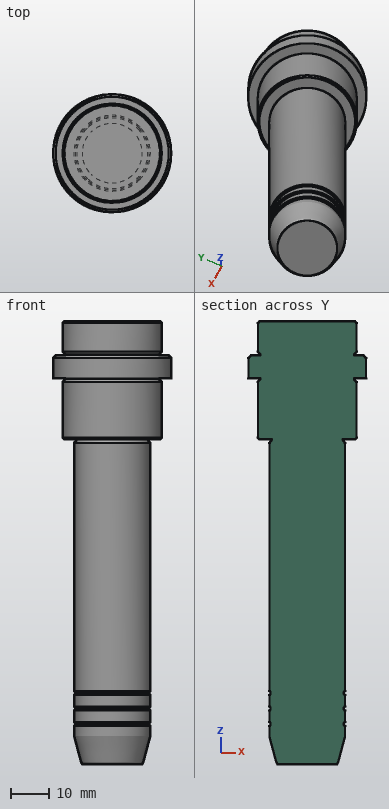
import cadquery as cq
import math

length = 116.0
head_radius = 13.0
flange_radius = 15.49
shaft_radius = 10.0

flange_top = 107.1
flange_bottom = 101.0
collar_bottom = 85.0

edge_chamfer = 0.5
flange_chamfer = 0.7
relief_depth = 0.7
relief_height = 0.9

taper_top = 7.3
taper_angle = 15.0
tip_chamfer_height = 0.6
tip_chamfer_width = 0.3

groove_count = 3
groove_pitch = 4.1
lowest_groove_middle = 10.5
groove_width = 1.0
groove_depth = 0.3


def make_body():
    """Revolve the stepped half profile, listed as (radius, height) from the tip up."""
    taper_end_radius = shaft_radius - (taper_top - tip_chamfer_height) * math.tan(math.radians(taper_angle))
    head_relief_radius = head_radius - relief_depth
    profile = [
        (0, 0),
        (taper_end_radius - tip_chamfer_width, 0),
        (taper_end_radius, tip_chamfer_height),
        (shaft_radius, taper_top),
        (shaft_radius, collar_bottom - relief_height),
        (shaft_radius - relief_depth, collar_bottom),
        (head_radius - edge_chamfer, collar_bottom),
        (head_radius, collar_bottom + edge_chamfer),
        (head_radius, flange_bottom - relief_height),
        (head_relief_radius, flange_bottom - relief_height + relief_depth),
        (head_relief_radius, flange_bottom),
        (flange_radius, flange_bottom),
        (flange_radius, flange_top - flange_chamfer),
        (flange_radius - flange_chamfer, flange_top),
        (head_relief_radius, flange_top),
        (head_relief_radius, flange_top + relief_height - relief_depth),
        (head_radius, flange_top + relief_height),
        (head_radius, length - edge_chamfer),
        (head_radius - edge_chamfer, length),
        (0, length),
    ]
    return cq.Workplane("XZ").polyline(profile).close().revolve(360, (0, 0), (0, 1))


def make_groove_cutter(middle):
    """Ring that cuts one groove with sloped flanks, centred at the given height."""
    half_width = groove_width / 2
    floor_radius = shaft_radius - groove_depth
    half_floor = half_width - groove_depth
    outer_radius = shaft_radius + groove_depth
    half_mouth = half_width + groove_depth
    section = [
        (floor_radius, middle - half_floor),
        (outer_radius, middle - half_mouth),
        (outer_radius, middle + half_mouth),
        (floor_radius, middle + half_floor),
    ]
    return cq.Workplane("XZ").polyline(section).close().revolve(360, (0, 0), (0, 1))


result = make_body()
for index in range(groove_count):
    result = result.cut(make_groove_cutter(lowest_groove_middle + index * groove_pitch))